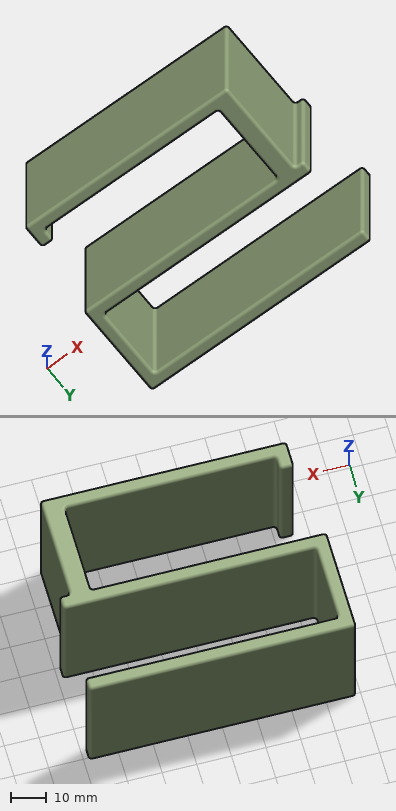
import cadquery as cq

length = 77.0
depth = 62.0
height = 40.0

wall = 4.0
right_wall = 6.0
lower_inset = 3.0
lip_height = 8.0
edge_radius = 1.0

lower_left = lower_inset
lower_right = length - lower_inset
right_wall_inner = lower_right - right_wall
lip_inner = lower_left + wall

middle_bottom = depth / 2
middle_top = middle_bottom + wall
upper_bottom = depth - wall

outline = [
    (lower_left, 0),
    (lower_right, 0),
    (lower_right, middle_bottom),
    (length, middle_bottom),
    (length, middle_top),
    (wall, middle_top),
    (wall, upper_bottom),
    (length, upper_bottom),
    (length, depth),
    (0, depth),
    (0, middle_bottom),
    (right_wall_inner, middle_bottom),
    (right_wall_inner, wall),
    (lip_inner, wall),
    (lip_inner, lip_height),
    (lower_left, lip_height),
]

body = cq.Workplane("XY").polyline(outline).close().extrude(height)

result = body.edges().fillet(edge_radius)